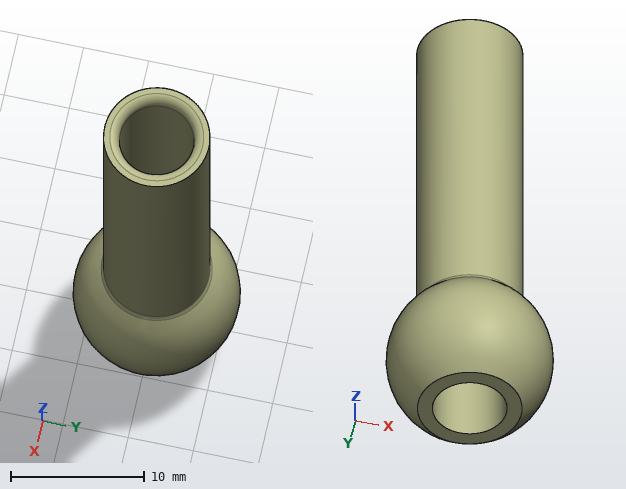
import cadquery as cq
import math

length = 36.32
ball_radius = 6.3
tube_radius = 4.0
bore_radius = 2.8

flat_radius = 3.92
neck_fillet = 0.5
mouth_fillet = 0.73

ball_center_z = math.sqrt(ball_radius**2 - flat_radius**2)
neck_z = ball_center_z + math.sqrt(ball_radius**2 - tube_radius**2)


def make_body():
    """Revolve the truncated ball and its tube as one solid of revolution."""
    profile = (
        cq.Workplane("XZ")
        .lineTo(flat_radius, 0)
        .threePointArc((ball_radius, ball_center_z), (tube_radius, neck_z))
        .lineTo(tube_radius, length)
        .lineTo(0, length)
        .close()
    )
    return profile.revolve(360, (0, 0), (0, 1))


def round_neck(body):
    """Blend the tube into the ball."""
    neck_edge = cq.selectors.BoxSelector(
        (-ball_radius, -ball_radius, neck_z - neck_fillet),
        (ball_radius, ball_radius, neck_z + neck_fillet),
        boundingbox=True,
    )
    return body.edges(neck_edge).fillet(neck_fillet)


def drill_bore(body):
    """Bore through the full length and round its mouth at the tube end."""
    bore = cq.Workplane("XY").circle(bore_radius).extrude(length)
    bored = body.cut(bore)
    mouth_edge = cq.selectors.RadiusNthSelector(0)
    return bored.faces(">Z").edges(mouth_edge).fillet(mouth_fillet)


result = drill_bore(round_neck(make_body()))